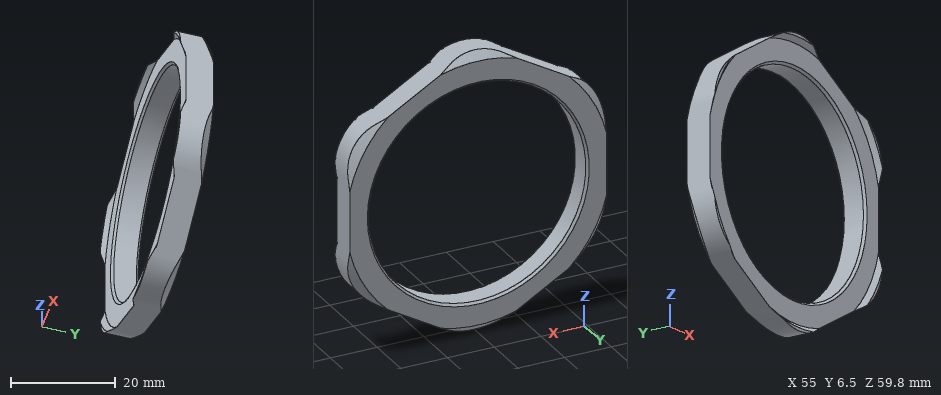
import cadquery as cq

HEXAGON_SIDES = 6
ACROSS_FLATS = 55.0
CORNER_RADIUS = 12.0
BORE_DIAMETER = 46.5
BORE_CHAMFER = 0.5
THICKNESS = 6.5
FULL_TURN = 360

LUG_HEIGHT = 1.0
FACE_DIAMETER = 56.5
CONE_OVERSHOOT = 3.0

LUG_TIP_Y = -THICKNESS / 2
FRONT_FACE_Y = LUG_TIP_Y + LUG_HEIGHT
BACK_FACE_Y = THICKNESS / 2

FACE_RADIUS = FACE_DIAMETER / 2
BORE_RADIUS = BORE_DIAMETER / 2


def revolve_about_y(radius_y_points):
    """Turn a closed (radius, y) outline into a solid around the Y axis."""
    outline = cq.Workplane("XY").polyline(radius_y_points).close()
    return outline.revolve(FULL_TURN, (0, 0, 0), (0, 1, 0))


def rounded_hexagon():
    """Hexagonal plate with rounded corners, two of them pointing along Z."""
    return (
        cq.Workplane("XZ", origin=(0, BACK_FACE_Y, 0))
        .polygon(HEXAGON_SIDES, ACROSS_FLATS, circumscribed=True)
        .extrude(THICKNESS)
        .edges("|Y")
        .fillet(CORNER_RADIUS)
    )


def back_cone_envelope():
    """Disc whose back rim is cut at 45 degrees; it trims the hexagon corners."""
    outer_radius = FACE_RADIUS + CONE_OVERSHOOT
    return revolve_about_y([
        (0, LUG_TIP_Y),
        (outer_radius, LUG_TIP_Y),
        (outer_radius, BACK_FACE_Y - CONE_OVERSHOOT),
        (FACE_RADIUS, BACK_FACE_Y),
        (0, BACK_FACE_Y),
    ])


def front_recess():
    """Shallow dish with a 45 degree wall, leaving a raised lug at each corner."""
    return revolve_about_y([
        (0, LUG_TIP_Y),
        (FACE_RADIUS + LUG_HEIGHT, LUG_TIP_Y),
        (FACE_RADIUS, FRONT_FACE_Y),
        (0, FRONT_FACE_Y),
    ])


def chamfered_bore():
    """Through bore, chamfered where it meets the front and back faces."""
    return revolve_about_y([
        (0, FRONT_FACE_Y),
        (BORE_RADIUS + BORE_CHAMFER, FRONT_FACE_Y),
        (BORE_RADIUS, FRONT_FACE_Y + BORE_CHAMFER),
        (BORE_RADIUS, BACK_FACE_Y - BORE_CHAMFER),
        (BORE_RADIUS + BORE_CHAMFER, BACK_FACE_Y),
        (0, BACK_FACE_Y),
    ])


result = (
    rounded_hexagon()
    .intersect(back_cone_envelope())
    .cut(front_recess())
    .cut(chamfered_bore())
)